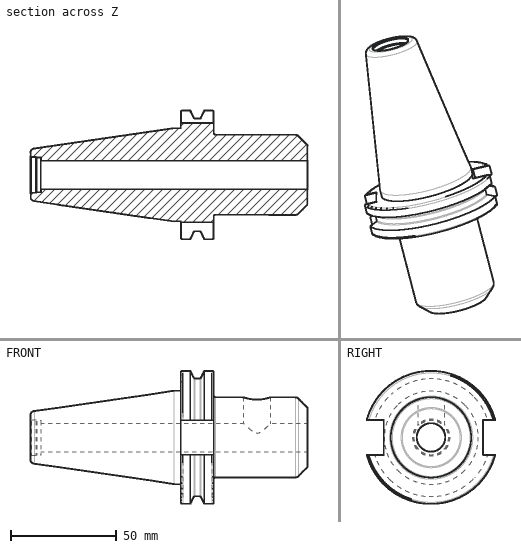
import cadquery as cq

total_length = 131.8

taper_end_x = 68.2
gauge_diameter = 44.5
taper_ratio = 7 / 24
small_end_fillet = 2.1

flange_diameter = 63.4
flange_start_x = 71.4
flange_end_x = 87.2
flange_edge_fillet = 0.9
groove_center_x = 79.3
groove_mouth_width = 6.6
groove_root_width = 3.0
groove_root_diameter = 56.1
groove_root_fillet = 0.5

slot_width = 16.3
slot_edge_chamfer = 0.3
slot_floor_plus_y = 24.8
slot_floor_minus_y = 22.5

body_diameter = 38.2
body_root_fillet = 0.7
nose_chamfer = 5.0
nose_shoulder_fillet = 2.0
nose_tip_fillet = 0.8

through_diameter = 13.5
pilot_diameter = 16.9
pilot_depth = 2.5
inner_step_diameter = 16.3
inner_step_depth = 5.0
pilot_mouth_diameter = 17.7
screw_diameter = 12.8
screw_x = 107.6


def turned_body():
    """Revolve the outer half-section around the X axis."""
    small_end_radius = (gauge_diameter - taper_end_x * taper_ratio) / 2
    gauge_radius = gauge_diameter / 2
    flange_radius = flange_diameter / 2
    root_radius = groove_root_diameter / 2
    body_radius = body_diameter / 2
    half_mouth = groove_mouth_width / 2
    half_root = groove_root_width / 2
    section = [
        (0, 0),
        (0, small_end_radius),
        (taper_end_x, gauge_radius),
        (flange_start_x, gauge_radius),
        (flange_start_x, flange_radius),
        (groove_center_x - half_mouth, flange_radius),
        (groove_center_x - half_root, root_radius),
        (groove_center_x + half_root, root_radius),
        (groove_center_x + half_mouth, flange_radius),
        (flange_end_x, flange_radius),
        (flange_end_x, body_radius),
        (total_length - nose_chamfer, body_radius),
        (total_length, body_radius - nose_chamfer),
        (total_length, 0),
    ]
    body = cq.Workplane("XY").polyline(section).close().revolve(360, (0, 0, 0), (1, 0, 0))

    def round_edge(shape, x, radius, fillet):
        """Fillet the circular edge of the given radius at the given X."""
        margin = 0.01
        corner_low = (x - margin, -radius - margin, -radius - margin)
        corner_high = (x + margin, radius + margin, radius + margin)
        rings = shape.edges(cq.selectors.BoxSelector(corner_low, corner_high, boundingbox=True))
        outer_ring = max(rings.vals(), key=lambda edge: edge.Length())
        return shape.newObject([outer_ring]).fillet(fillet)

    body = round_edge(body, 0, small_end_radius, small_end_fillet)
    body = round_edge(body, flange_start_x, flange_radius, flange_edge_fillet)
    for root_edge_x in (groove_center_x - half_root, groove_center_x + half_root):
        body = round_edge(body, root_edge_x, root_radius, groove_root_fillet)
    body = round_edge(body, flange_end_x, flange_radius, flange_edge_fillet)
    body = round_edge(body, flange_end_x, body_radius, body_root_fillet)
    body = round_edge(body, total_length - nose_chamfer, body_radius, nose_shoulder_fillet)
    return round_edge(body, total_length, body_radius - nose_chamfer, nose_tip_fillet)


def drive_slot(floor, side):
    """Cutter for a slot on the +Y (side = 1) or -Y (side = -1) face, flared at both flange faces."""
    flange_width = flange_end_x - flange_start_x
    half_width = slot_width / 2
    half_mouth = half_width + slot_edge_chamfer
    chamfer = slot_edge_chamfer
    outline = [
        (0, -half_mouth),
        (chamfer, -half_width),
        (flange_width - chamfer, -half_width),
        (flange_width, -half_mouth),
        (flange_width, half_mouth),
        (flange_width - chamfer, half_width),
        (chamfer, half_width),
        (0, half_mouth),
    ]
    return (
        cq.Workplane("XZ", origin=(flange_start_x, side * floor, 0))
        .polyline(outline)
        .close()
        .extrude(-side * flange_diameter)
    )


def axial_bore():
    """Through bore with a conical mouth and a shallow, tapered-step pilot at the small end."""
    mouth_depth = (pilot_mouth_diameter - pilot_diameter) / 2
    step_length = pilot_diameter - inner_step_diameter
    section = [
        (0, 0),
        (0, pilot_mouth_diameter / 2),
        (mouth_depth, pilot_diameter / 2),
        (pilot_depth, pilot_diameter / 2),
        (pilot_depth + step_length, inner_step_diameter / 2),
        (inner_step_depth, inner_step_diameter / 2),
        (inner_step_depth, through_diameter / 2),
        (total_length, through_diameter / 2),
        (total_length, 0),
    ]
    return cq.Workplane("XY").polyline(section).close().revolve(360, (0, 0, 0), (1, 0, 0))


def screw_hole():
    """Radial clamping-screw hole from the top of the body into the bore."""
    return (
        cq.Workplane("XY", origin=(screw_x, 0, 0))
        .circle(screw_diameter / 2)
        .extrude(body_diameter)
    )


result = (
    turned_body()
    .cut(drive_slot(slot_floor_plus_y, 1))
    .cut(drive_slot(slot_floor_minus_y, -1))
    .cut(axial_bore())
    .cut(screw_hole())
)